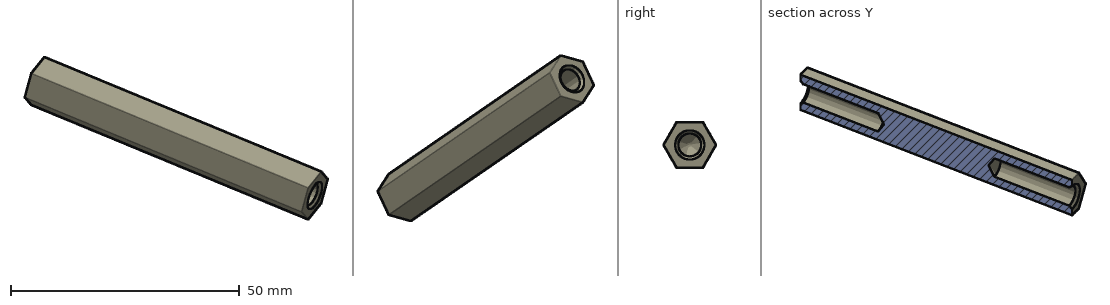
import cadquery as cq
import math

length = 70.0
across_flats = 10.0
edge_radius = 0.1

bore_diameter = 5.0
mouth_diameter = 6.4
mouth_angle = 90.0
bore_depth = 20.0
drill_point_angle = 120.0


def cone_height(large_diameter, small_diameter, included_angle):
    """Axial length of a cone between two diameters."""
    return (large_diameter - small_diameter) / 2 / math.tan(math.radians(included_angle / 2))


def hexagonal_body():
    """Hexagonal bar along X, starting at X = 0, with all edges rounded."""
    sharp_corner_diameter = across_flats / math.cos(math.pi / 6)
    bar = cq.Workplane("YZ").polygon(6, sharp_corner_diameter).extrude(length)
    return bar.edges().fillet(edge_radius)


def blind_hole():
    """Solid of revolution filling the hole that enters the end at X = 0."""
    mouth_depth = cone_height(mouth_diameter, bore_diameter, mouth_angle)
    tip_depth = bore_depth + cone_height(bore_diameter, 0, drill_point_angle)
    half_profile = (
        cq.Workplane("XY")
        .moveTo(0, 0)
        .lineTo(0, mouth_diameter / 2)
        .lineTo(mouth_depth, bore_diameter / 2)
        .lineTo(bore_depth, bore_diameter / 2)
        .lineTo(tip_depth, 0)
        .close()
    )
    return half_profile.revolve(360, (0, 0, 0), (1, 0, 0))


near_hole = blind_hole()
far_hole = near_hole.mirror("YZ", (length / 2, 0, 0))

result = hexagonal_body().cut(near_hole).cut(far_hole)